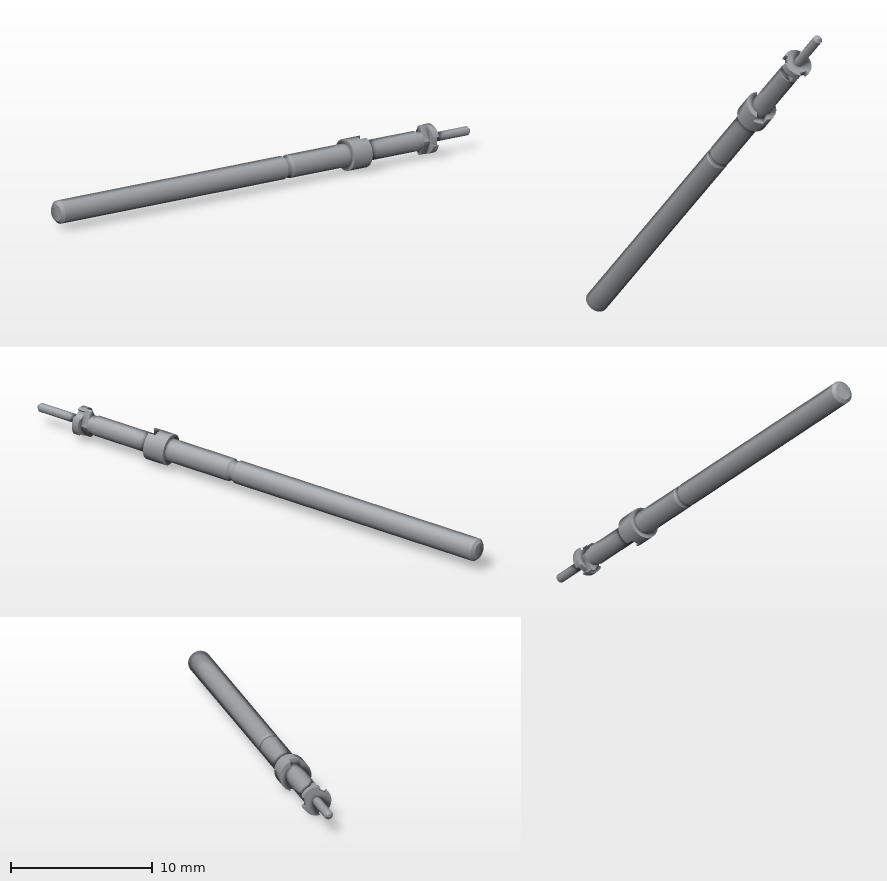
import cadquery as cq

LENGTH = 36.4
TIP_Y = LENGTH / 2

TIP_RADIUS = 0.33
TIP_CHAMFER = 0.22

HEAD_START = 3.42
HEAD_RADIUS = 1.05
DISC_LENGTH = 0.5
DISC_END = HEAD_START + DISC_LENGTH
DISC_SLOT_COUNT = 3
DISC_SLOT_WIDTH = 0.62
DISC_SLOT_FLOOR = 0.8

WEDGE_LENGTH = 0.5
WEDGE_END = DISC_END + WEDGE_LENGTH
WEDGE_HALF_WIDTH = 0.65
WEDGE_HALF_HEIGHT = 1.27

NECK_RADIUS = 0.65
NECK_END = 4.85
SHANK_RADIUS = 0.73

COLLAR_START = 9.35
COLLAR_END = 10.95
COLLAR_DIAMETER = 2.3
COLLAR_RADIUS = COLLAR_DIAMETER / 2
KEYWAY_WIDTH = 0.75
KEYWAY_LENGTH = 0.55

BODY_RADIUS = 0.85
BODY_CHAMFER = 0.22
GROOVE_START = 15.98
GROOVE_WIDTH = 0.55
GROOVE_DEPTH = 0.1


def cylinder(radius, start, end):
    """Solid cylinder on the Y axis between two distances from the tip."""
    plane = cq.Workplane("XZ", origin=(0, TIP_Y - start, 0))
    return plane.circle(radius).extrude(end - start)


def make_tip():
    """Slim contact pin with a chamfered point."""
    tip = cylinder(TIP_RADIUS, 0, HEAD_START)
    return tip.faces(">Y").chamfer(TIP_CHAMFER)


def make_disc():
    """Disc with three radial slots in its rim, the first one on +X."""
    disc = cylinder(HEAD_RADIUS, HEAD_START, DISC_END)
    middle_y = TIP_Y - HEAD_START - DISC_LENGTH / 2
    slot = (
        cq.Workplane("XY")
        .box(HEAD_RADIUS, DISC_LENGTH, DISC_SLOT_WIDTH, centered=(False, True, True))
        .translate((DISC_SLOT_FLOOR, middle_y, 0))
    )
    for index in range(DISC_SLOT_COUNT):
        angle = index * 360 / DISC_SLOT_COUNT
        disc = disc.cut(slot.rotate((0, 0, 0), (0, 1, 0), angle))
    return disc


def make_wedge():
    """Diamond section behind the disc, its tall corners trimmed round."""
    diamond = (
        cq.Workplane("XZ", origin=(0, TIP_Y - DISC_END, 0))
        .moveTo(WEDGE_HALF_WIDTH, 0)
        .lineTo(0, WEDGE_HALF_HEIGHT)
        .lineTo(-WEDGE_HALF_WIDTH, 0)
        .lineTo(0, -WEDGE_HALF_HEIGHT)
        .close()
        .extrude(WEDGE_LENGTH)
    )
    return diamond.intersect(cylinder(HEAD_RADIUS, DISC_END, WEDGE_END))


def make_collar():
    """Collar with a keyway across its tip side, open at top and bottom."""
    collar = cylinder(COLLAR_RADIUS, COLLAR_START, COLLAR_END)
    keyway = cq.Workplane("XY").box(KEYWAY_WIDTH, KEYWAY_LENGTH, COLLAR_DIAMETER)
    return collar.cut(keyway.translate((0, TIP_Y - COLLAR_START - KEYWAY_LENGTH / 2, 0)))


def make_body():
    """Long barrel with a chamfered end and a shallow rounded groove."""
    body = cylinder(BODY_RADIUS, COLLAR_END, LENGTH)
    body = body.faces("<Y").chamfer(BODY_CHAMFER)
    groove_y = TIP_Y - GROOVE_START
    groove = (
        cq.Workplane("XY")
        .moveTo(BODY_RADIUS, groove_y)
        .threePointArc(
            (BODY_RADIUS - GROOVE_DEPTH, groove_y - GROOVE_WIDTH / 2),
            (BODY_RADIUS, groove_y - GROOVE_WIDTH),
        )
        .close()
        .revolve(360, (0, 0, 0), (0, 1, 0))
    )
    return body.cut(groove)


result = (
    make_tip()
    .union(make_disc())
    .union(make_wedge())
    .union(cylinder(NECK_RADIUS, WEDGE_END, NECK_END))
    .union(cylinder(SHANK_RADIUS, NECK_END, COLLAR_END))
    .union(make_collar())
    .union(make_body())
)